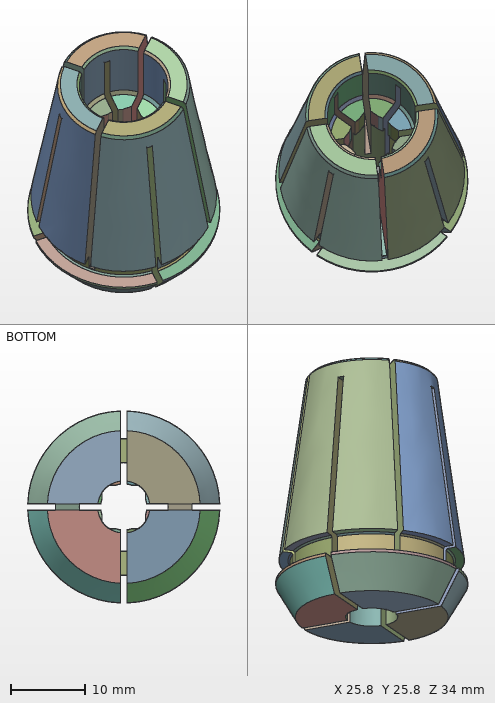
import cadquery as cq
import math

LENGTH = 34.0

FLANGE_RADIUS = 12.92
FLANGE_TOP = 5.0
RIM_HEIGHT = 0.4
NOSE_ANGLE = 30.0

GROOVE_RADIUS = 11.0
GROOVE_TOP = 8.1
GROOVE_CORNER = 0.25

CONE_BASE_RADIUS = 12.48
CONE_ANGLE = 8.0
TOP_CHAMFER = 0.37

SHANK_RADIUS = 3.5
SHANK_TOP = 18.02
DRIVE_WIDTH = 5.8
DRIVE_PILOT_RADIUS = 3.1
DRIVE_TOP = 23.8
CLEARANCE_RADIUS = 5.95
CLEARANCE_FLOOR_RADIUS = 5.5
MOUTH_CHAMFER = 0.35

SLOT_WIDTH = 0.8
LOWER_SLOT_TOP = 31.4
UPPER_SLOT_BOTTOM = 5.47
SLOT_SPAN = 2.5 * FLANGE_RADIUS


def revolve_profile(points):
    """Revolve a closed (radius, height) outline about the Z axis."""
    return cq.Workplane("XZ").polyline(points).close().revolve(360, (0, 0), (0, 1))


def make_body():
    rim_bottom = FLANGE_TOP - RIM_HEIGHT
    nose_radius = FLANGE_RADIUS - rim_bottom * math.tan(math.radians(NOSE_ANGLE))
    chamfer_base = LENGTH - TOP_CHAMFER
    cone_height = chamfer_base - GROOVE_TOP
    cone_top_radius = CONE_BASE_RADIUS - cone_height * math.tan(math.radians(CONE_ANGLE))
    return revolve_profile([
        (0, 0),
        (nose_radius, 0),
        (FLANGE_RADIUS, rim_bottom),
        (FLANGE_RADIUS, FLANGE_TOP),
        (GROOVE_RADIUS + GROOVE_CORNER, FLANGE_TOP),
        (GROOVE_RADIUS, FLANGE_TOP + GROOVE_CORNER),
        (GROOVE_RADIUS, GROOVE_TOP - GROOVE_CORNER),
        (GROOVE_RADIUS + GROOVE_CORNER, GROOVE_TOP),
        (CONE_BASE_RADIUS, GROOVE_TOP),
        (cone_top_radius, chamfer_base),
        (cone_top_radius - TOP_CHAMFER, LENGTH),
        (0, LENGTH),
    ])


def make_round_hole():
    """Shank bore, pilot through the drive, and clearance bore with a chamfered mouth."""
    floor_chamfer = CLEARANCE_RADIUS - CLEARANCE_FLOOR_RADIUS
    return revolve_profile([
        (0, 0),
        (SHANK_RADIUS, 0),
        (SHANK_RADIUS, SHANK_TOP),
        (DRIVE_PILOT_RADIUS, SHANK_TOP),
        (DRIVE_PILOT_RADIUS, DRIVE_TOP),
        (CLEARANCE_FLOOR_RADIUS, DRIVE_TOP),
        (CLEARANCE_RADIUS, DRIVE_TOP + floor_chamfer),
        (CLEARANCE_RADIUS, LENGTH - MOUTH_CHAMFER),
        (CLEARANCE_RADIUS + MOUTH_CHAMFER, LENGTH),
        (0, LENGTH),
    ])


def make_square_drive():
    height = DRIVE_TOP - SHANK_TOP
    return cq.Workplane("XY", origin=(0, 0, SHANK_TOP)).rect(DRIVE_WIDTH, DRIVE_WIDTH).extrude(height)


def make_slot_cross(bottom, top, first_angle):
    """Two crossing slots, each cutting through both sides of the collet."""
    plane = cq.Workplane("XY", origin=(0, 0, bottom))
    slot = plane.rect(SLOT_SPAN, SLOT_WIDTH).extrude(top - bottom)
    slot = slot.rotate((0, 0, 0), (0, 0, 1), first_angle)
    return slot.union(slot.rotate((0, 0, 0), (0, 0, 1), 90))


result = (
    make_body()
    .cut(make_round_hole())
    .cut(make_square_drive())
    .cut(make_slot_cross(0, LOWER_SLOT_TOP, 0))
    .cut(make_slot_cross(UPPER_SLOT_BOTTOM, LENGTH, 45))
)